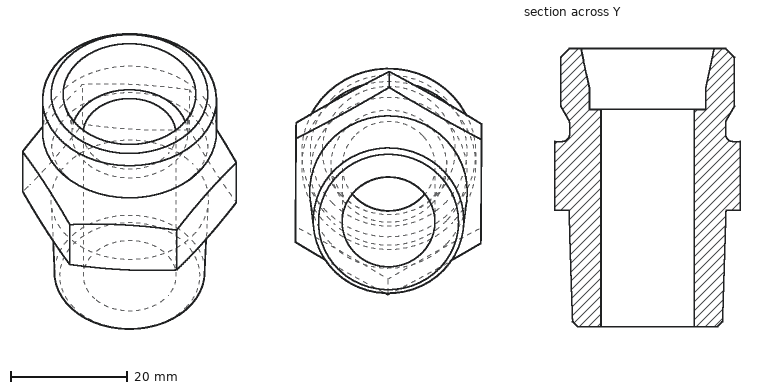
import cadquery as cq
import math

hex_across_flats = 32.0
hex_bottom = 20.1
hex_top = 32.0
hex_chamfer_angle = 15.0
hex_face_diameter = 31.9

stud_taper = 1 / 16
gauge_height = 8.6
gauge_diameter = 26.44
stud_chamfer = 0.9

total_height = 48.0
boss_diameter = 30.0
boss_chamfer = 1.5
boss_bottom = 38.0
neck_diameter = 27.0
undercut_angle = 30.0
undercut_fillet = 1.2
neck_fillet = 1.2

bore_diameter = 16.0
socket_diameter = 20.0
socket_depth = 10.5
cone_mouth_diameter = 22.9
cone_half_angle = 12.0


def tan_deg(angle):
    return math.tan(math.radians(angle))


def revolve_about_z(profile):
    return profile.close().revolve(360, (0, 0, 0), (0, 1, 0))


def stud_radius(height):
    return (gauge_diameter + (height - gauge_height) * stud_taper) / 2


def make_hexagon():
    """Hexagon with two flats facing X, its corners turned off by a cone at each end."""
    across_corners = hex_across_flats / math.cos(math.radians(30))
    prism = (
        cq.Workplane("XY")
        .workplane(offset=hex_bottom)
        .polygon(6, across_corners)
        .extrude(hex_top - hex_bottom)
        .rotate((0, 0, 0), (0, 0, 1), 30)
    )
    face_radius = hex_face_diameter / 2
    corner_radius = across_corners / 2
    corner_drop = (corner_radius - face_radius) * tan_deg(hex_chamfer_angle)
    turned_envelope = revolve_about_z(
        cq.Workplane("XZ")
        .moveTo(0, hex_bottom)
        .lineTo(face_radius, hex_bottom)
        .lineTo(corner_radius, hex_bottom + corner_drop)
        .lineTo(corner_radius, hex_top - corner_drop)
        .lineTo(face_radius, hex_top)
        .lineTo(0, hex_top)
    )
    return prism.intersect(turned_envelope)


def make_stud():
    """Tapered stud, chamfered at its free end."""
    return revolve_about_z(
        cq.Workplane("XZ")
        .moveTo(0, 0)
        .lineTo(stud_radius(stud_chamfer) - stud_chamfer, 0)
        .lineTo(stud_radius(stud_chamfer), stud_chamfer)
        .lineTo(stud_radius(hex_bottom), hex_bottom)
        .lineTo(0, hex_bottom)
    )


def make_boss():
    """Cylindrical tube end with a relieved neck, blended into the hexagon face."""
    boss_radius = boss_diameter / 2
    neck_radius = neck_diameter / 2
    undercut_height = (boss_radius - neck_radius) / tan_deg(undercut_angle)
    neck_top = boss_bottom - undercut_height

    tangent_length = undercut_fillet * tan_deg(undercut_angle / 2)
    cone_tangent_radius = neck_radius + tangent_length * math.sin(math.radians(undercut_angle))
    cone_tangent_height = neck_top + tangent_length * math.cos(math.radians(undercut_angle))
    neck_tangent_height = neck_top - tangent_length

    return revolve_about_z(
        cq.Workplane("XZ")
        .moveTo(0, hex_top)
        .lineTo(neck_radius + neck_fillet, hex_top)
        .radiusArc((neck_radius, hex_top + neck_fillet), neck_fillet)
        .lineTo(neck_radius, neck_tangent_height)
        .radiusArc((cone_tangent_radius, cone_tangent_height), undercut_fillet)
        .lineTo(boss_radius, boss_bottom)
        .lineTo(boss_radius, total_height - boss_chamfer)
        .lineTo(boss_radius - boss_chamfer, total_height)
        .lineTo(0, total_height)
    )


def make_bore():
    """Through bore opening into a tube socket with a conical mouth."""
    socket_radius = socket_diameter / 2
    mouth_radius = cone_mouth_diameter / 2
    cone_depth = (mouth_radius - socket_radius) / tan_deg(cone_half_angle)
    socket_bottom = total_height - socket_depth
    return revolve_about_z(
        cq.Workplane("XZ")
        .moveTo(0, 0)
        .lineTo(bore_diameter / 2, 0)
        .lineTo(bore_diameter / 2, socket_bottom)
        .lineTo(socket_radius, socket_bottom)
        .lineTo(socket_radius, total_height - cone_depth)
        .lineTo(mouth_radius, total_height)
        .lineTo(0, total_height)
    )


result = make_hexagon().union(make_stud()).union(make_boss()).cut(make_bore())